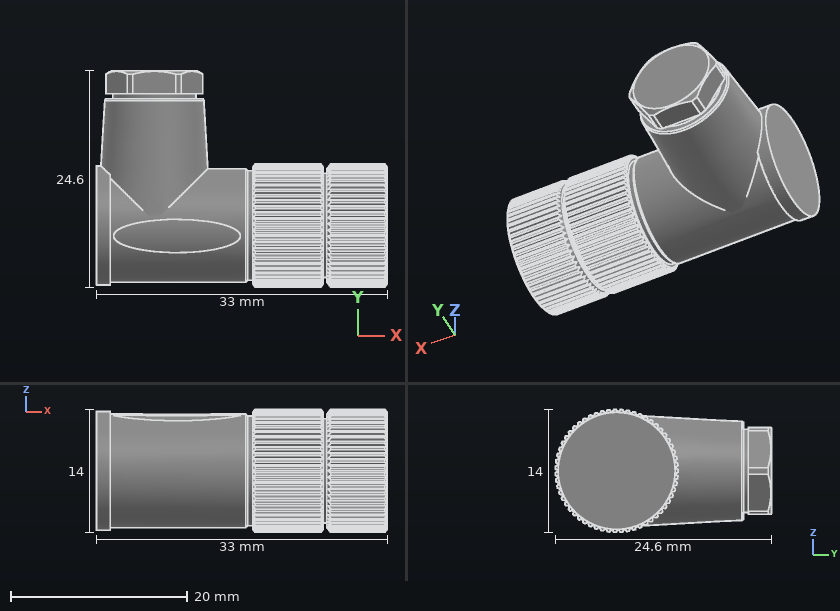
import cadquery as cq
import math


CAP_RADIUS = 6.75
CAP_END = 1.6
BODY_RADIUS = 6.47
BODY_END = 17.15
BODY_CHAMFER = 0.23
NECK_RADIUS = BODY_RADIUS - BODY_CHAMFER
GROOVE_RADIUS = 5.95
GRIP_START = 17.75
GRIP_END = 25.75
COUPLING_START = 26.15
COUPLING_END = 33.0

KNURL_RADIUS = 7.0
TOOTH_COUNT = 59
TOOTH_DEPTH = 0.35
TOOTH_LAND = 0.25
KNURL_CHAMFER_LENGTH = 0.25
COUPLING_LEAD_IN_LENGTH = 0.45
COUPLING_LEAD_IN_DEPTH = 0.6

LEG_X = 6.57
LEG_BASE_RADIUS = BODY_RADIUS
LEG_TOP_RADIUS = 5.65
LEG_TOP = 14.42
LEG_CHAMFER_LENGTH = 0.23
LEG_CHAMFER_DEPTH = 0.13

NUT_NECK_RADIUS = 4.75
NUT_START = 14.95
NUT_END = 17.6
NUT_ACROSS_FLATS = 9.9
NUT_CORNER_RADIUS = 5.5
NUT_TOP_RADIUS = 4.82
NUT_CHAMFER_LENGTH = 0.4

RECESS_X = 9.15
RECESS_Y = -1.2
RECESS_LENGTH = 14.4
RECESS_WIDTH = 3.8
RECESS_DEPTH = 0.15


def barrel_cylinder(start, end, radius):
    """Cylinder on the barrel axis between two X positions."""
    return cq.Workplane("YZ").workplane(offset=start).circle(radius).extrude(end - start)


def turned_on_leg(points):
    """Solid of revolution about the leg axis from (radius, y) points."""
    placed = [(LEG_X + radius, y) for radius, y in points]
    return cq.Workplane("XY").polyline(placed).close().revolve(360, (LEG_X, 0), (LEG_X, 1))


def knurl_outline():
    """Closed toothed outline: rounded lands with V grooves, one land centred on +Y."""
    root_radius = KNURL_RADIUS - TOOTH_DEPTH
    pitch = 2 * math.pi / TOOTH_COUNT
    half_land = TOOTH_LAND / (2 * KNURL_RADIUS)

    def polar(radius, angle):
        return radius * math.cos(angle), radius * math.sin(angle)

    outline = cq.Workplane("YZ").moveTo(*polar(KNURL_RADIUS, -half_land))
    for tooth in range(TOOTH_COUNT):
        angle = tooth * pitch
        outline = outline.threePointArc(polar(KNURL_RADIUS, angle), polar(KNURL_RADIUS, angle + half_land))
        outline = outline.lineTo(*polar(root_radius, angle + pitch / 2))
        if tooth < TOOTH_COUNT - 1:
            outline = outline.lineTo(*polar(KNURL_RADIUS, angle + pitch - half_land))
    return outline.close()


def knurled_ring(start, end, lead_in_length, lead_in_depth):
    """Knurled ring with a conical lead-in at its start and a chamfer down to the tooth roots at its end."""
    envelope = (
        cq.Workplane("XY")
        .moveTo(start, 0)
        .lineTo(start, KNURL_RADIUS - lead_in_depth)
        .lineTo(start + lead_in_length, KNURL_RADIUS)
        .lineTo(end - KNURL_CHAMFER_LENGTH, KNURL_RADIUS)
        .lineTo(end, KNURL_RADIUS - TOOTH_DEPTH)
        .lineTo(end, 0)
        .close()
        .revolve(360, (0, 0), (1, 0))
    )
    toothed = knurl_outline().extrude(end - start).translate((start, 0, 0))
    return toothed.intersect(envelope)


def make_barrel():
    cap = barrel_cylinder(0, CAP_END, CAP_RADIUS)
    body = barrel_cylinder(0, BODY_END, BODY_RADIUS).faces(">X").chamfer(BODY_CHAMFER)
    neck = barrel_cylinder(0, GRIP_START, NECK_RADIUS)
    groove = barrel_cylinder(GRIP_END, COUPLING_START, GROOVE_RADIUS)
    grip = knurled_ring(GRIP_START, GRIP_END, KNURL_CHAMFER_LENGTH, TOOTH_DEPTH)
    coupling = knurled_ring(COUPLING_START, COUPLING_END, COUPLING_LEAD_IN_LENGTH, COUPLING_LEAD_IN_DEPTH)
    return body.union(cap).union(neck).union(grip).union(groove).union(coupling)


def make_recess():
    """Elliptical pad whose floor lies a constant depth below the body surface."""
    pad = (
        cq.Workplane("XY")
        .center(RECESS_X, RECESS_Y)
        .ellipse(RECESS_LENGTH / 2, RECESS_WIDTH / 2)
        .extrude(CAP_RADIUS)
    )
    return pad.cut(barrel_cylinder(0, BODY_END, BODY_RADIUS - RECESS_DEPTH))


def make_leg():
    cone = turned_on_leg([
        (0, 0),
        (LEG_BASE_RADIUS, 0),
        (LEG_TOP_RADIUS, LEG_TOP - LEG_CHAMFER_LENGTH),
        (LEG_TOP_RADIUS - LEG_CHAMFER_DEPTH, LEG_TOP),
        (0, LEG_TOP),
    ])
    nut_neck = turned_on_leg([(0, 0), (NUT_NECK_RADIUS, 0), (NUT_NECK_RADIUS, NUT_START), (0, NUT_START)])
    return cone.union(nut_neck)


def make_nut():
    """Hexagon with flats facing +Z and -Z, its corners turned round and its outer end chamfered."""
    corner_diameter = NUT_ACROSS_FLATS / math.cos(math.pi / 6)
    hexagon = (
        cq.Workplane("XZ", origin=(LEG_X, NUT_START, 0))
        .polygon(6, corner_diameter)
        .extrude(NUT_START - NUT_END)
    )
    envelope = turned_on_leg([
        (0, NUT_START),
        (NUT_CORNER_RADIUS, NUT_START),
        (NUT_CORNER_RADIUS, NUT_END - NUT_CHAMFER_LENGTH),
        (NUT_TOP_RADIUS, NUT_END),
        (0, NUT_END),
    ])
    return hexagon.intersect(envelope)


result = make_barrel().union(make_leg()).cut(make_recess()).union(make_nut())